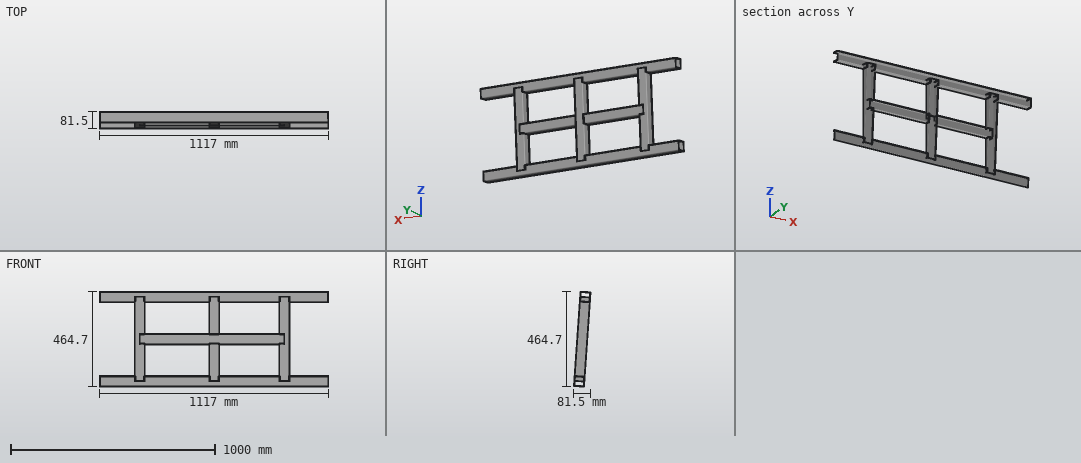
import cadquery as cq
TUBE_SIZE = 50.0
TUBE_WALL = 3.0
TUBE_RADIUS = 5.0
BORE_SIZE = TUBE_SIZE - 2 * TUBE_WALL
BORE_RADIUS = TUBE_RADIUS - TUBE_WALL

LOWER_RAIL_LENGTH = 1117.0
UPPER_RAIL_LENGTH = 1115.0
RAIL_SPACING = 413.0
LEFT_END = -LOWER_RAIL_LENGTH / 2
LEFT_POST_X = LEFT_END + 194.0
MIDDLE_POST_X = LEFT_END + 558.0
RIGHT_POST_X = LEFT_END + 901.0
LEAN_ANGLE = 4.0

RAIL_Z = RAIL_SPACING / 2
POST_LENGTH = RAIL_SPACING
CROSSBAR_LENGTH = RIGHT_POST_X - LEFT_POST_X

ALONG_X = "YZ"
ALONG_Z = "XY"


def rounded_bar(plane, size, radius, length):
    """A solid square bar with rounded long edges, running along the normal of the plane."""
    bar = cq.Workplane(plane).rect(size, size).extrude(length)
    long_edges = "|X" if plane == ALONG_X else "|Z"
    return bar.edges(long_edges).fillet(radius)


def envelope(plane, length):
    """The outer shape of a tube, without its bore."""
    return rounded_bar(plane, TUBE_SIZE, TUBE_RADIUS, length)


def tube(plane, length):
    """A square tube open at both ends."""
    return envelope(plane, length).cut(rounded_bar(plane, BORE_SIZE, BORE_RADIUS, length))


def place_post(shape, x):
    return shape.translate((x, 0, -RAIL_Z))


def place_crossbar(shape):
    return shape.translate((LEFT_POST_X, 0, 0))


end_post_envelopes = [place_post(envelope(ALONG_Z, POST_LENGTH), x) for x in (LEFT_POST_X, RIGHT_POST_X)]
middle_post_envelope = place_post(envelope(ALONG_Z, POST_LENGTH), MIDDLE_POST_X)
crossbar_envelope = place_crossbar(envelope(ALONG_X, CROSSBAR_LENGTH))

front_half = cq.Workplane("XY").box(LOWER_RAIL_LENGTH, TUBE_SIZE / 2, RAIL_SPACING)
front_half = front_half.translate((0, -TUBE_SIZE / 4, 0))


def make_rail(length, z):
    """A long tube, notched to its centre line where each post enters."""
    rail = tube(ALONG_X, length).translate((LEFT_END, 0, z))
    for post_envelope in [*end_post_envelopes, middle_post_envelope]:
        rail = rail.cut(post_envelope)
    return rail


def make_end_post(x):
    """A post notched to its centre line for one end of the crossbar."""
    return place_post(tube(ALONG_Z, POST_LENGTH), x).cut(crossbar_envelope)


def make_middle_post():
    """A post whose front half gives way to the crossbar in a half-lap joint."""
    post = place_post(tube(ALONG_Z, POST_LENGTH), MIDDLE_POST_X)
    return post.cut(crossbar_envelope.intersect(front_half))


def make_crossbar():
    """The crossbar, whose back half gives way to the middle post in a half-lap joint."""
    crossbar = place_crossbar(tube(ALONG_X, CROSSBAR_LENGTH))
    return crossbar.cut(middle_post_envelope.cut(front_half))


def lean(body):
    """Tilt a body of the upright frame back about the X axis."""
    return body.rotate((0, 0, 0), (1, 0, 0), -LEAN_ANGLE)


lower_rail = lean(make_rail(LOWER_RAIL_LENGTH, -RAIL_Z))
upper_rail = lean(make_rail(UPPER_RAIL_LENGTH, RAIL_Z))
end_posts = [lean(make_end_post(x)) for x in (LEFT_POST_X, RIGHT_POST_X)]
middle_post = lean(make_middle_post())
crossbar = lean(make_crossbar())

result = cq.Compound.makeCompound(
    [
        lower_rail.val(),
        upper_rail.val(),
        *[post.val() for post in end_posts],
        middle_post.val(),
        crossbar.val(),
    ]
)